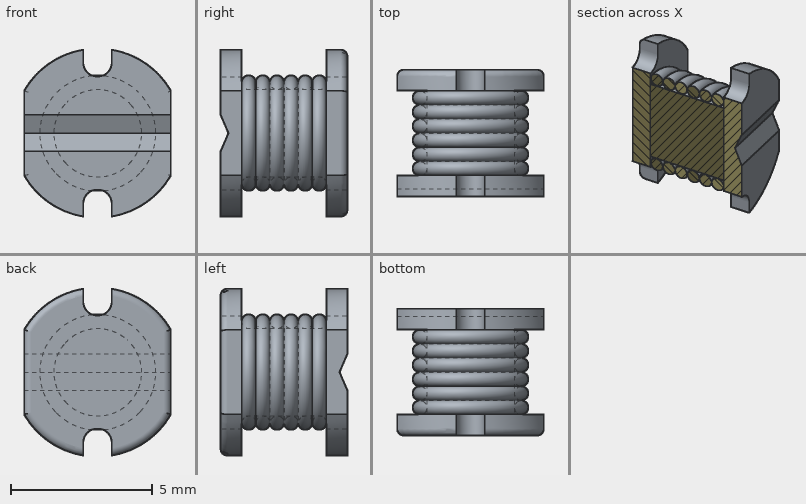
import cadquery as cq

flange_radius = 3.0
flange_width = 5.2
flange_thickness = 0.75
rim_fillet = 0.25

turn_count = 6
wire_diameter = 0.5
wire_radius = wire_diameter / 2
core_radius = 1.55
turn_radius = core_radius + wire_radius
core_length = turn_count * wire_diameter

slot_width = 1.0
slot_floor_height = 2.0
slot_round_center = slot_floor_height + slot_width / 2

groove_width = 1.3
groove_depth = 0.28

core_front = -core_length / 2
core_back = core_length / 2
front_face = core_front - flange_thickness


def cylinder_along_y(radius, start, length):
    return cq.Workplane("XZ", origin=(0, start, 0)).circle(radius).extrude(-length)


def make_flange_blank(start):
    """Disc with a flat on each X side; start is its lowest Y."""
    disc = cylinder_along_y(flange_radius, start, flange_thickness)
    flats = cq.Workplane("XY").box(flange_width, flange_thickness, 2 * flange_radius)
    return disc.intersect(flats.translate((0, start + flange_thickness / 2, 0)))


def cut_wire_slots(flange, start):
    """Cut a round-bottomed slot into the top and the bottom of a flange."""
    for side in (1, -1):
        slot = (
            cq.Workplane("XZ", origin=(0, start, 0))
            .moveTo(-slot_width / 2, side * flange_radius)
            .lineTo(-slot_width / 2, side * slot_round_center)
            .threePointArc((0, side * slot_floor_height),
                           (slot_width / 2, side * slot_round_center))
            .lineTo(slot_width / 2, side * flange_radius)
            .close()
            .extrude(-flange_thickness)
        )
        flange = flange.cut(slot)
    return flange


def make_front_flange():
    """Flange with square edges and a V groove along X in its front face."""
    flange = cut_wire_slots(make_flange_blank(front_face), front_face)
    groove = (
        cq.Workplane("YZ", origin=(-flange_width / 2, 0, 0))
        .moveTo(front_face, groove_width / 2)
        .lineTo(front_face + groove_depth, 0)
        .lineTo(front_face, -groove_width / 2)
        .close()
        .extrude(flange_width)
    )
    return flange.cut(groove)


def make_back_flange():
    """Flange with its outer rim rounded; the slots cut through the rounding."""
    blank = make_flange_blank(core_back).faces(">Y").edges().fillet(rim_fillet)
    return cut_wire_slots(blank, core_back)


def make_turn(center_y):
    """One closed ring of round wire about the Y axis."""
    return cq.Solid.makeTorus(turn_radius, wire_radius, cq.Vector(0, center_y, 0), cq.Vector(0, 1, 0))


front_flange = make_front_flange()
back_flange = make_back_flange()
core = cylinder_along_y(core_radius, core_front, core_length)
turns = []
for index in range(turn_count):
    turns.append(make_turn(core_front + wire_radius + index * wire_diameter))

result = cq.Compound.makeCompound([front_flange.val(), back_flange.val(), core.val(), *turns])